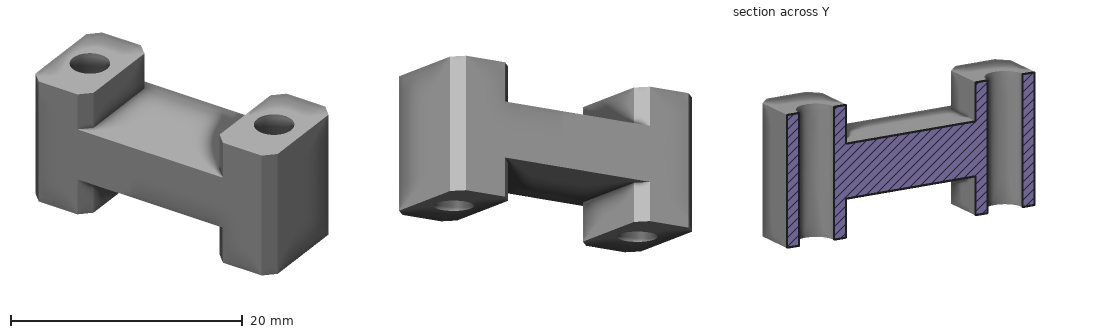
import cadquery as cq

length = 25
width = 10
height = 12

block_length = 6
corner_chamfer = 1
web_height = 5
hole_diameter = 3.5

block_offset = (length - block_length) / 2


def end_block(center_x):
    """Upright block with all four vertical edges chamfered."""
    block = cq.Workplane("XY").box(block_length, width, height)
    return block.edges("|Z").chamfer(corner_chamfer).translate((center_x, 0, 0))


result = cq.Workplane("XY").box(2 * block_offset, width, web_height)
for center_x in (-block_offset, block_offset):
    result = result.union(end_block(center_x))

holes = (
    cq.Workplane("XY")
    .pushPoints([(-block_offset, 0), (block_offset, 0)])
    .circle(hole_diameter / 2)
    .extrude(height / 2, both=True)
)
result = result.cut(holes).clean()